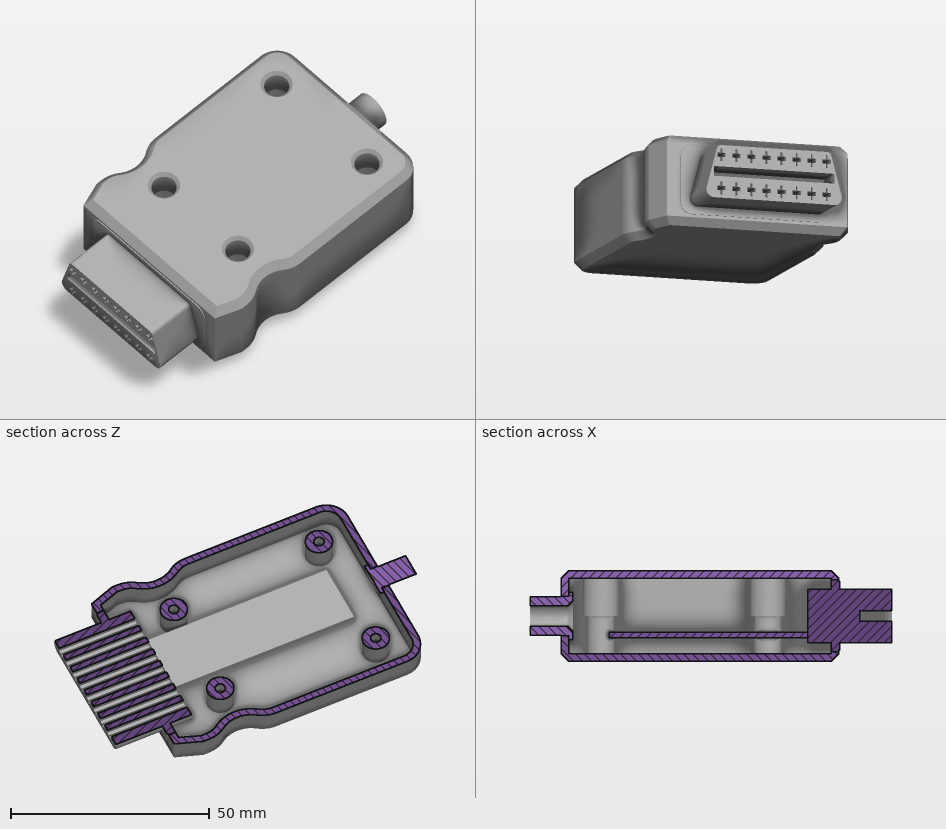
import cadquery as cq
import math


housing_width = 53.0
housing_length = 70.0
housing_height = 23.0
rear_corner_radius = 6.0
edge_chamfer = 2.0
wall = 2.0
nose_length = 7.0
nose_inset = 2.5

grip_y = 18.0
grip_depth = 3.0
grip_radius = 8.0

screw_places = [(-16.5, 60.0), (16.5, 60.0), (-13.5, grip_y), (13.5, grip_y)]
head_radius = 3.2
head_mouth_radius = 4.05
head_mouth_depth = 0.9
head_seat_z = 4.5
shank_radius = 1.75
pilot_radius = 1.25
pilot_depth = 7.0
drill_tip_angle = math.radians(118)
upper_post_radius = 4.5
lower_post_radius = 3.5

plug_reach = 13.25
plug_height = 13.5
plug_mid_width = 33.6
plug_side_angle = math.radians(15)
plug_top_fillet = 1.25
plug_bottom_fillet = 2.0
plug_rear_y = 8.0
flange_width = 41.5
flange_height = 18.0
flange_corner_radius = 3.25
pad_inset = 0.25
pad_thickness = 0.25
key_slot_width = 32.0
key_slot_height = 2.5
key_slot_depth = 8.0
contact_columns = 8
contact_pitch = 4.0
contact_row_pitch = 8.5
contact_bar_width = 2.2
contact_bar_height = 1.1
contact_blade_width = 0.5
contact_blade_height = 3.3

sleeve_radius = 4.9
sleeve_reach = 7.8
sleeve_bore_radius = 2.5
sleeve_mouth_radius = 3.85
collar_radius = 6.0
collar_thickness = 1.0

board_width = 16.0
board_length = 50.0
board_thickness = 1.6
board_top_z = -4.0

half_width = housing_width / 2
half_height = housing_height / 2


def cylinder(x, y, z_low, z_high, radius):
    return cq.Workplane("XY", origin=(x, y, z_low)).circle(radius).extrude(z_high - z_low)


def cone(x, y, z_low, z_high, radius_low, radius_high):
    solid = cq.Solid.makeCone(radius_low, radius_high, z_high - z_low, pnt=cq.Vector(x, y, z_low))
    return cq.Workplane(solid)


def front_plane(y):
    """Sketch plane at the given Y whose extrusions run toward +Y, with local x along -X."""
    return cq.Workplane(cq.Plane(origin=(0, y, 0), xDir=(-1, 0, 0), normal=(0, 1, 0)))



def housing_outline():
    """Closed outline in the XY plane, run from the front left up the left side and back down the right."""
    turn = math.acos(1 - grip_depth / (2 * grip_radius))
    half_turn_x = grip_radius * (1 - math.cos(turn / 2))
    half_turn_y = grip_radius * math.sin(turn / 2)
    blend_y = grip_radius * math.sin(turn)
    grip_half_length = 2 * blend_y
    corner_mid = rear_corner_radius * (1 - math.sqrt(0.5))
    blend_x = half_width - grip_depth / 2
    grip_floor_x = half_width - grip_depth
    shoulder_x = half_width - half_turn_x
    front_end = grip_y - grip_half_length
    rear_end = grip_y + grip_half_length
    return (
        cq.Workplane("XY")
        .moveTo(-half_width + nose_inset, 0)
        .lineTo(-half_width, nose_length)
        .lineTo(-half_width, front_end)
        .threePointArc((-shoulder_x, front_end + half_turn_y), (-blend_x, grip_y - blend_y))
        .threePointArc((-grip_floor_x, grip_y), (-blend_x, grip_y + blend_y))
        .threePointArc((-shoulder_x, rear_end - half_turn_y), (-half_width, rear_end))
        .lineTo(-half_width, housing_length - rear_corner_radius)
        .threePointArc(
            (-half_width + corner_mid, housing_length - corner_mid),
            (-half_width + rear_corner_radius, housing_length),
        )
        .lineTo(half_width - rear_corner_radius, housing_length)
        .threePointArc(
            (half_width - corner_mid, housing_length - corner_mid),
            (half_width, housing_length - rear_corner_radius),
        )
        .lineTo(half_width, rear_end)
        .threePointArc((shoulder_x, rear_end - half_turn_y), (blend_x, grip_y + blend_y))
        .threePointArc((grip_floor_x, grip_y), (blend_x, grip_y - blend_y))
        .threePointArc((shoulder_x, front_end + half_turn_y), (half_width, front_end))
        .lineTo(half_width, nose_length)
        .lineTo(half_width - nose_inset, 0)
        .close()
    )


def hollow_half(face):
    """Half of the housing outside the parting plane toward the given face, open at that plane."""
    sign = 1 if face == ">Z" else -1
    shell = housing_outline().extrude(sign * half_height).faces(face).chamfer(edge_chamfer)
    cavity = housing_outline().offset2D(-wall).extrude(sign * (half_height - wall))
    return shell.cut(cavity)


def flange_plate(y_front, thickness, inset):
    """Plate with rounded corners, smaller than the flange by the inset on every side."""
    return (
        front_plane(y_front)
        .rect(flange_width - 2 * inset, flange_height - 2 * inset)
        .extrude(thickness)
        .edges("|Y")
        .fillet(flange_corner_radius)
    )


def cut_end_openings(shell):
    """Front opening for the connector flange and rear opening for the cable sleeve."""
    sleeve_opening = front_plane(housing_length - wall).circle(sleeve_radius).extrude(wall)
    return shell.cut(flange_plate(0, wall, 0)).cut(sleeve_opening)



def screw_bore(x, y):
    cone_low = head_seat_z - (head_radius - shank_radius)
    mouth_z = half_height - head_mouth_depth
    return (
        cylinder(x, y, 0, cone_low, shank_radius)
        .union(cone(x, y, cone_low, head_seat_z, shank_radius, head_radius))
        .union(cylinder(x, y, head_seat_z, mouth_z, head_radius))
        .union(cone(x, y, mouth_z, half_height, head_radius, head_mouth_radius))
    )


def make_upper_shell():
    shell = cut_end_openings(hollow_half(">Z"))
    for x, y in screw_places:
        shell = shell.union(cylinder(x, y, 0, half_height - wall, upper_post_radius))
        shell = shell.cut(screw_bore(x, y))
    return shell



def pilot_hole(x, y):
    tip = pilot_radius / math.tan(drill_tip_angle / 2)
    drilled = cylinder(x, y, -pilot_depth, 0, pilot_radius)
    return drilled.union(cone(x, y, -pilot_depth - tip, -pilot_depth, 0, pilot_radius))


def make_lower_shell():
    shell = cut_end_openings(hollow_half("<Z"))
    for x, y in screw_places:
        shell = shell.union(cylinder(x, y, wall - half_height, 0, lower_post_radius))
        shell = shell.cut(pilot_hole(x, y))
    return shell



def plug_block():
    """Trapezoid bar, wider at the bottom, with rounded long edges."""
    taper = plug_height / 2 * math.tan(plug_side_angle)
    top_x = plug_mid_width / 2 - taper
    bottom_x = plug_mid_width / 2 + taper
    top_z = plug_height / 2
    outline = [(-bottom_x, -top_z), (bottom_x, -top_z), (top_x, top_z), (-top_x, top_z)]
    block = front_plane(-plug_reach).polyline(outline).close().extrude(plug_reach + plug_rear_y)
    block = block.edges("|Y and >Z").fillet(plug_top_fillet)
    return block.edges("|Y and <Z").fillet(plug_bottom_fillet)


def contact_slots():
    """Two rows of cross-shaped slots along the whole connector."""
    first_x = -(contact_columns - 1) / 2 * contact_pitch
    length = plug_reach + plug_rear_y
    places = [
        (first_x + column * contact_pitch, side * contact_row_pitch / 2)
        for column in range(contact_columns)
        for side in (-1, 1)
    ]
    plane = front_plane(-plug_reach).pushPoints(places)
    bars = plane.rect(contact_bar_width, contact_bar_height).extrude(length)
    blades = plane.rect(contact_blade_width, contact_blade_height).extrude(length)
    return bars.union(blades)


def make_connector():
    """Plug on a flange that fills the housing opening, with a thin pad raised on the flange face."""
    flange = flange_plate(0, wall, 0)
    pad = flange_plate(-pad_thickness, pad_thickness, pad_inset)
    key_slot = front_plane(-plug_reach).rect(key_slot_width, key_slot_height).extrude(key_slot_depth)
    return plug_block().union(flange).union(pad).cut(key_slot).cut(contact_slots())



def make_cable_sleeve():
    """Tube through the rear wall, held by a collar inside it, with a flared inner mouth."""
    collar_y = housing_length - wall - collar_thickness
    tube_length = collar_thickness + wall + sleeve_reach
    tube = front_plane(collar_y).circle(sleeve_radius).extrude(tube_length)
    collar = front_plane(collar_y).circle(collar_radius).extrude(collar_thickness)
    bore = front_plane(collar_y).circle(sleeve_bore_radius).extrude(tube_length)
    mouth = cq.Solid.makeCone(
        sleeve_mouth_radius,
        sleeve_bore_radius,
        sleeve_mouth_radius - sleeve_bore_radius,
        pnt=cq.Vector(0, collar_y, 0),
        dir=cq.Vector(0, 1, 0),
    )
    return tube.union(collar).cut(bore).cut(cq.Workplane(mouth))


def make_circuit_board():
    """Flat board that starts at the rear face of the connector."""
    return (
        cq.Workplane("XY", origin=(0, plug_rear_y + board_length / 2, board_top_z))
        .rect(board_width, board_length)
        .extrude(-board_thickness)
    )


upper_shell = make_upper_shell()
lower_shell = make_lower_shell()
connector = make_connector()
cable_sleeve = make_cable_sleeve()
circuit_board = make_circuit_board()

result = cq.Compound.makeCompound([
    upper_shell.val(),
    lower_shell.val(),
    connector.val(),
    cable_sleeve.val(),
    circuit_board.val(),
])